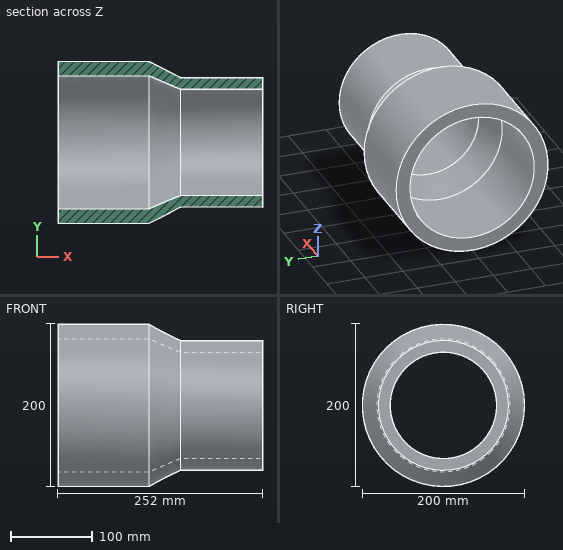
import cadquery as cq

total_length = 252.0
large_length = 112.0
cone_length = 38.8
cone_end = large_length + cone_length

large_outer_radius = 200.0 / 2
large_wall = 18.1
small_outer_radius = 160.0 / 2
small_wall = 14.5


def stepped_solid(large_radius, small_radius):
    """Large cylinder, cone and small cylinder in a row along X."""
    half_profile = (
        cq.Workplane("XY")
        .moveTo(0, 0)
        .lineTo(0, large_radius)
        .lineTo(large_length, large_radius)
        .lineTo(cone_end, small_radius)
        .lineTo(total_length, small_radius)
        .lineTo(total_length, 0)
        .close()
    )
    return half_profile.revolve(360, (0, 0, 0), (1, 0, 0))


body = stepped_solid(large_outer_radius, small_outer_radius)

bore = stepped_solid(large_outer_radius - large_wall, small_outer_radius - small_wall)

result = body.cut(bore)